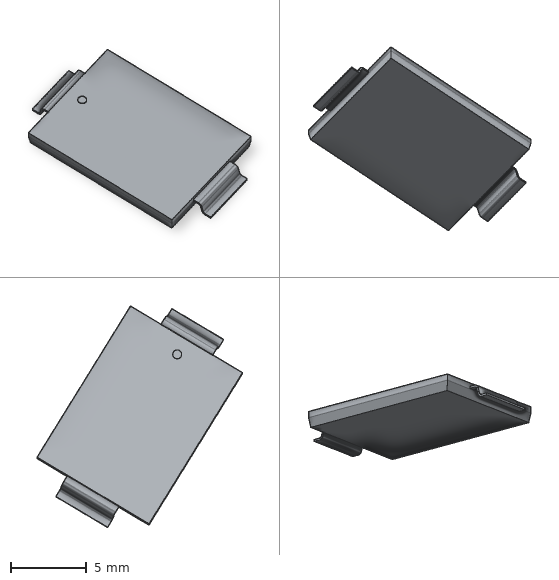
import cadquery as cq
import math

overall_length = 14.81
overall_height = 1.15

housing_length = 11.92
housing_width = 8.66
standoff = 0.05
parting_height = 0.73
draft_angle = 8.5

marker_diameter = 0.59
marker_depth = 0.05
marker_edge_distance = 1.18

lead_width = 4.0
lead_thickness = 0.13
lead_top_height = 0.9
foot_flat_length = 0.46
bend_inner_radius = 0.16
bend_outer_radius = bend_inner_radius + lead_thickness
bend_angle = 75.0

marker_x = marker_edge_distance - housing_length / 2


def make_marker():
    return (
        cq.Workplane("XY", origin=(marker_x, 0, overall_height - marker_depth))
        .circle(marker_diameter / 2)
        .extrude(marker_depth)
    )


def make_housing():
    upper = (
        cq.Workplane("XY", origin=(0, 0, parting_height))
        .rect(housing_length, housing_width)
        .extrude(overall_height - parting_height)
    )
    lower = (
        cq.Workplane("XY", origin=(0, 0, parting_height))
        .rect(housing_length, housing_width)
        .extrude(standoff - parting_height, taper=draft_angle)
    )
    return upper.union(lower).cut(make_marker())


def point_on_bend(center, radius, degrees):
    """Point at the given polar angle on a bend arc in the XZ plane."""
    angle = math.radians(degrees)
    return (center[0] + radius * math.cos(angle), center[1] + radius * math.sin(angle))


def make_left_lead():
    toe_x = -overall_length / 2
    root_x = -housing_length / 2
    lower_z = lead_thickness + bend_inner_radius
    upper_z = lead_top_height - bend_outer_radius

    slope = math.radians(bend_angle)
    radius_sum = bend_inner_radius + bend_outer_radius
    leg_length = (upper_z - lower_z + radius_sum * math.cos(slope)) / math.sin(slope)
    center_spacing = radius_sum * math.sin(slope) + leg_length * math.cos(slope)

    lower_x = toe_x + foot_flat_length
    lower_center = (lower_x, lower_z)
    upper_center = (lower_x + center_spacing, upper_z)

    lower_start, lower_mid, lower_end = -90, -90 + bend_angle / 2, -90 + bend_angle
    upper_start, upper_mid, upper_end = 90 + bend_angle, 90 + bend_angle / 2, 90

    profile = (
        cq.Workplane("XZ")
        .moveTo(toe_x, lead_thickness)
        .lineTo(*point_on_bend(lower_center, bend_inner_radius, lower_start))
        .threePointArc(
            point_on_bend(lower_center, bend_inner_radius, lower_mid),
            point_on_bend(lower_center, bend_inner_radius, lower_end),
        )
        .lineTo(*point_on_bend(upper_center, bend_outer_radius, upper_start))
        .threePointArc(
            point_on_bend(upper_center, bend_outer_radius, upper_mid),
            point_on_bend(upper_center, bend_outer_radius, upper_end),
        )
        .lineTo(root_x, lead_top_height)
        .lineTo(root_x, lead_top_height - lead_thickness)
        .lineTo(*point_on_bend(upper_center, bend_inner_radius, upper_end))
        .threePointArc(
            point_on_bend(upper_center, bend_inner_radius, upper_mid),
            point_on_bend(upper_center, bend_inner_radius, upper_start),
        )
        .lineTo(*point_on_bend(lower_center, bend_outer_radius, lower_end))
        .threePointArc(
            point_on_bend(lower_center, bend_outer_radius, lower_mid),
            point_on_bend(lower_center, bend_outer_radius, lower_start),
        )
        .lineTo(toe_x, 0)
        .close()
    )
    return profile.extrude(lead_width / 2, both=True)


def make_lead(turn):
    """Lead turned about the vertical axis, by degrees from the -X end."""
    return make_left_lead().rotate((0, 0, 0), (0, 0, 1), turn)


housing = make_housing()
marker = make_marker()
leads = [make_lead(turn) for turn in (0, 180)]

lead_solids = [lead.solids().val() for lead in leads]
result = cq.Compound.makeCompound([housing.solids().val(), marker.val(), *lead_solids])